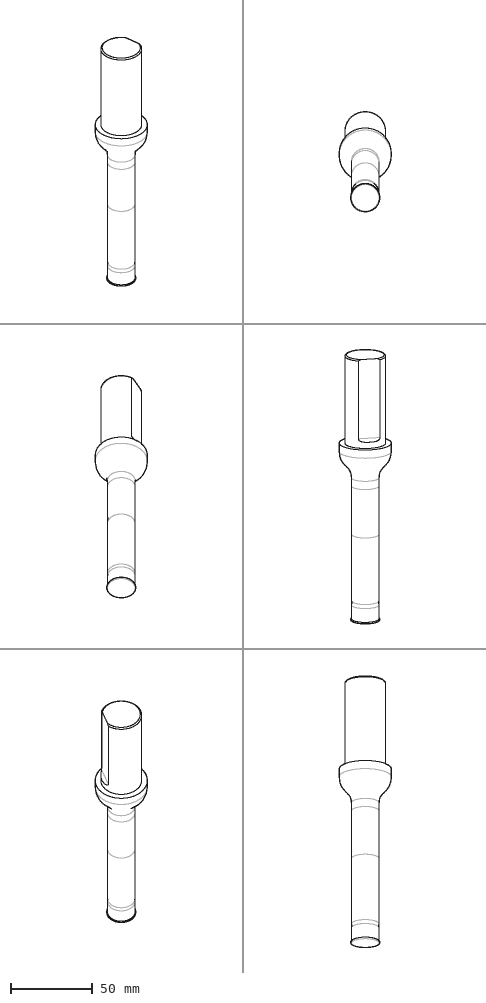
import cadquery as cq
import math

total_length = 169.0
head_height = 10.1
relief_height = 2.5
blade_top = 55.0
neck_bottom = 85.7
neck_top = 91.0
bell_shoulder_height = 101.9
collar_bottom = 107.7
collar_top = 112.9

shank_diameter = 25.0
collar_diameter = 32.0
bell_shoulder_diameter = 29.2
neck_diameter = 17.0
blade_diameter = 16.9
head_diameter = neck_diameter
relief_diameter = 16.7
rim_diameter = 17.9

shank_chamfer_width = 0.8
shank_chamfer_height = 0.8
cutting_tip_height = 1.4
rim_widest_height = 0.8
tip_cone_height = 0.3
tip_cone_diameter = 16.9

flat_offset = 10.5
flat_shoulder_height = 116.8
flat_runout_radius = 2.0

blade_bottom = head_height + relief_height


def add_bell(outline):
    """Continue an outline from neck to collar with a smooth S-curve that is vertical at both ends."""
    bell_end = (collar_diameter / 2, collar_bottom)
    bell_shoulder = (bell_shoulder_diameter / 2, bell_shoulder_height)
    return outline.spline([bell_shoulder, bell_end], tangents=[(0, 1), (0, 1)], includeCurrent=True)


def make_flat_cutter():
    """Material removed by the flat, with a quarter-round runout at its lower end."""
    shoulder_start = flat_offset + flat_runout_radius
    cutter_edge = collar_diameter / 2
    arc_offset = flat_runout_radius * (1 - math.sqrt(0.5))
    return (
        cq.Workplane("YZ")
        .moveTo(flat_offset, total_length)
        .lineTo(flat_offset, flat_shoulder_height + flat_runout_radius)
        .threePointArc(
            (flat_offset + arc_offset, flat_shoulder_height + arc_offset),
            (shoulder_start, flat_shoulder_height),
        )
        .lineTo(cutter_edge, flat_shoulder_height)
        .lineTo(cutter_edge, total_length)
        .close()
        .extrude(shank_diameter / 2, both=True)
    )


def make_holder():
    """Turned holder: head, shallow relief groove, slim blade section, tapered stem,
    neck, bell, collar and shank with its flat.
    """
    shank_radius = shank_diameter / 2
    outline = (
        cq.Workplane("XZ")
        .moveTo(0, cutting_tip_height)
        .lineTo(head_diameter / 2, cutting_tip_height)
        .lineTo(head_diameter / 2, head_height)
        .threePointArc(
            (relief_diameter / 2, head_height + relief_height / 2),
            (blade_diameter / 2, blade_bottom),
        )
        .lineTo(blade_diameter / 2, blade_top)
        .lineTo(neck_diameter / 2, neck_bottom)
        .lineTo(neck_diameter / 2, neck_top)
    )
    outline = (
        add_bell(outline)
        .lineTo(collar_diameter / 2, collar_top)
        .lineTo(shank_radius, collar_top)
        .lineTo(shank_radius, total_length - shank_chamfer_height)
        .lineTo(shank_radius - shank_chamfer_width, total_length)
        .lineTo(0, total_length)
        .close()
    )
    body = outline.revolve(360, (0, 0, 0), (0, 1, 0))
    return body.cut(make_flat_cutter())


def make_cutting_tip():
    """Cutting tip: a disc with a rounded rim wider than the head, and a very flat conical end."""
    return (
        cq.Workplane("XZ")
        .lineTo(tip_cone_diameter / 2, tip_cone_height)
        .threePointArc(
            (rim_diameter / 2, rim_widest_height),
            (head_diameter / 2, cutting_tip_height),
        )
        .lineTo(0, cutting_tip_height)
        .close()
        .revolve(360, (0, 0, 0), (0, 1, 0))
    )


holder = make_holder()
cutting_tip = make_cutting_tip()
result = cq.Compound.makeCompound([holder.val(), cutting_tip.val()])